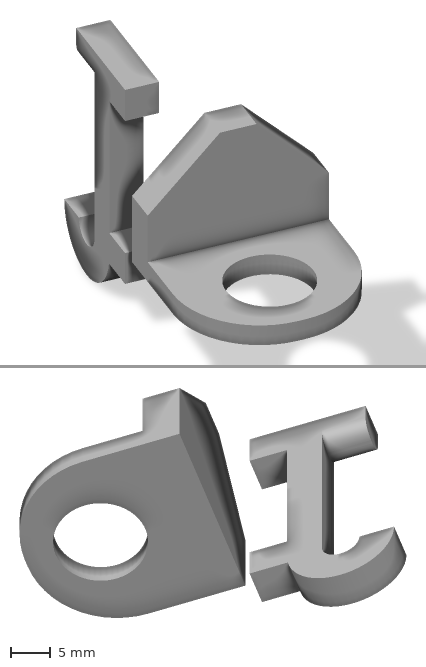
import cadquery as cq

bracket_length = 25.0
bracket_width = 25.0
bracket_height = 20.0
bracket_left = 46.6 - bracket_length
bracket_bottom = 10.65
wall_thickness = 5.0
wall_bevel = 9.95
plate_thickness = 3.0
plate_corner_radius = 11.98
bore_diameter = 12.0
bore_center_x = bracket_left + 15.0

overall_height = 35.35
hook_depth = 4.7
curl_outer_radius = 7.18
curl_inner_radius = 2.5
shank_left = curl_outer_radius + curl_inner_radius
shank_right = 2 * curl_outer_radius
shank_width = shank_right - shank_left
stub_length = 5.05
stub_end = shank_right + stub_length
bar_left = 3.8
bar_height = overall_height - (bracket_bottom + bracket_height)
bar_edge_radius = 2.1
lug_height = 4.65


def box(left, right, depth, bottom, height):
    """Block starting at the front plane Y = 0."""
    return cq.Workplane("XY").box(right - left, depth, height, centered=False).translate((left, 0, bottom))


def make_bracket():
    plate = box(bracket_left, 46.6, bracket_width, bracket_bottom, plate_thickness)
    plate = plate.edges("|Z and >X").fillet(plate_corner_radius)
    wall = box(bracket_left, bracket_left + wall_thickness, bracket_width, bracket_bottom, bracket_height)
    wall = wall.faces(">Z").edges("|X").chamfer(wall_bevel)
    bore = (
        cq.Workplane("XY", origin=(bore_center_x, bracket_width / 2, bracket_bottom))
        .circle(bore_diameter / 2)
        .extrude(plate_thickness)
    )
    return plate.union(wall).cut(bore)


def make_hook():
    curl_level = curl_outer_radius
    curl_and_shank = (
        cq.Workplane("XZ")
        .moveTo(0, curl_level)
        .threePointArc((curl_outer_radius, 0), (shank_right, curl_level))
        .lineTo(shank_right, overall_height)
        .lineTo(shank_left, overall_height)
        .lineTo(shank_left, curl_level)
        .threePointArc(
            (curl_outer_radius, curl_level - curl_inner_radius),
            (shank_width, curl_level),
        )
        .close()
        .extrude(-hook_depth)
    )
    free_arm = box(bar_left, shank_left, hook_depth, overall_height - bar_height, bar_height)
    free_arm = free_arm.faces("<Z").edges("|X").fillet(bar_edge_radius)
    square_arm = box(shank_left, stub_end, hook_depth, overall_height - bar_height, bar_height)
    lug = box(shank_left, stub_end, hook_depth, bracket_bottom - lug_height, lug_height)
    return curl_and_shank.union(free_arm).union(square_arm).union(lug)


bracket = make_bracket()
hook = make_hook()
result = cq.Compound.makeCompound([bracket.val(), hook.val()])